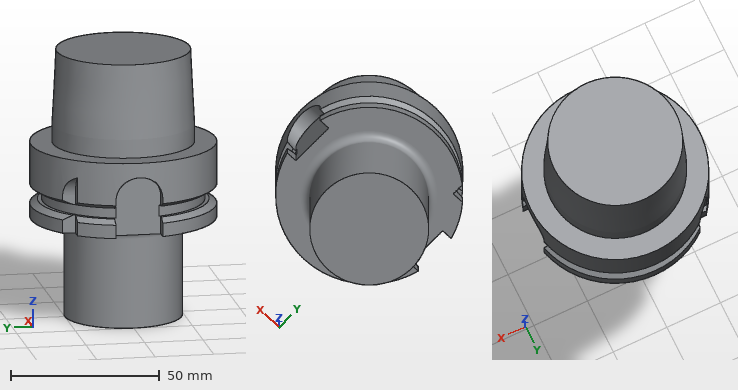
import cadquery as cq
import math

total_height = 92.0
flange_bottom = 34.0
flange_top = 60.0
nose_cone_start = 66.3

shank_radius = 20.0
flange_radius = 31.5
nose_radius = 24.0
nose_tip_radius = 22.7
shank_fillet = 3.0

groove_center = 42.0
groove_floor_width = 3.75
groove_radius = 27.5
groove_side_radius = 28.9
groove_mouth_angle = 30.0

slot_radius = 8.0
slot_arc_height = 47.0
key_slot_floor = 26.5
notch_wall_x = -20.0
notch_floor_y = 20.0


def turned_body():
    """Revolve the shank, grooved flange and tapered nose as one profile."""
    groove_low = groove_center - groove_floor_width / 2
    groove_high = groove_center + groove_floor_width / 2
    mouth_rise = (flange_radius - groove_side_radius) * math.tan(math.radians(groove_mouth_angle))
    fillet_start = flange_bottom - shank_fillet
    fillet_center_radius = shank_radius + shank_fillet
    fillet_diagonal = shank_fillet * math.sqrt(0.5)
    fillet_middle = (fillet_center_radius - fillet_diagonal, fillet_start + fillet_diagonal)
    profile = (
        cq.Workplane("XZ")
        .lineTo(shank_radius, 0)
        .lineTo(shank_radius, fillet_start)
        .threePointArc(fillet_middle, (fillet_center_radius, flange_bottom))
        .lineTo(flange_radius, flange_bottom)
        .lineTo(flange_radius, groove_low - mouth_rise)
        .lineTo(groove_side_radius, groove_low)
        .lineTo(groove_radius, groove_low)
        .lineTo(groove_radius, groove_high)
        .lineTo(groove_side_radius, groove_high)
        .lineTo(flange_radius, groove_high + mouth_rise)
        .lineTo(flange_radius, flange_top)
        .lineTo(nose_radius, flange_top)
        .lineTo(nose_radius, nose_cone_start)
        .lineTo(nose_tip_radius, total_height)
        .lineTo(0, total_height)
        .close()
    )
    return profile.revolve(360, (0, 0), (0, 1))


def slot_cutter(floor_distance, side_offset=0.0):
    """Round-topped slot facing +X, from its flat floor out to the flange radius."""
    return (
        cq.Workplane("YZ", origin=(floor_distance, side_offset, 0))
        .moveTo(-slot_radius, flange_bottom)
        .lineTo(-slot_radius, slot_arc_height)
        .threePointArc((0, slot_arc_height + slot_radius), (slot_radius, slot_arc_height))
        .lineTo(slot_radius, flange_bottom)
        .close()
        .extrude(flange_radius - floor_distance)
    )


def turn_about_axis(shape, angle):
    return shape.rotate((0, 0, 0), (0, 0, 1), angle)


result = turned_body()

for slot_angle in (0, 180):
    result = result.cut(turn_about_axis(slot_cutter(key_slot_floor), slot_angle))

notch_offset = slot_radius - notch_wall_x
result = result.cut(turn_about_axis(slot_cutter(notch_floor_y, notch_offset), 90))